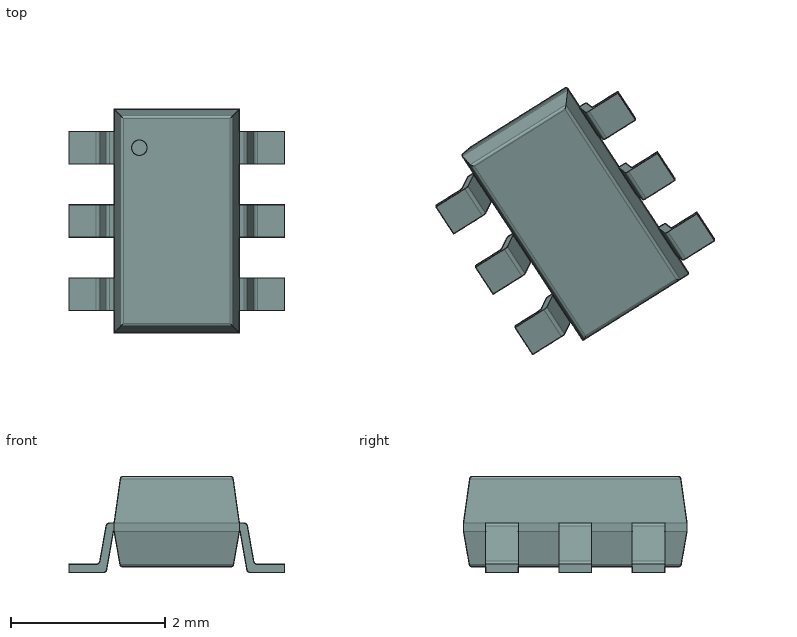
import cadquery as cq
import math


LEAD_SPAN = 2.8
BODY_LENGTH = 2.9
BODY_WIDTH = 1.625
PACKAGE_HEIGHT = 1.25
STANDOFF = 0.075

LEAD_THICKNESS = 0.11
LEAD_WIDTH = 0.425
LEAD_PITCH = 0.95
LEADS_PER_SIDE = 3
LEAD_TOP = 0.645
LEAD_SLOPE = 10.0
FOOT_LENGTH = 0.395
BEND_RADIUS = 0.05

UPPER_DRAFT = 8.0
LOWER_DRAFT = 10.0
EDGE_RADIUS = 0.04

MARK_DIAMETER = 0.2
MARK_DEPTH = 0.2
MARK_X = -0.485
MARK_Y = LEAD_PITCH

BAND_TOP = LEAD_TOP
BAND_BOTTOM = LEAD_TOP - LEAD_THICKNESS


def body_section(base_z, height, draft):
    """Rectangular block rising (or falling) from base_z with drafted walls."""
    return (
        cq.Workplane("XY", origin=(0, 0, base_z))
        .rect(BODY_WIDTH, BODY_LENGTH)
        .extrude(height, taper=draft)
    )


def make_body():
    upper = body_section(BAND_TOP, PACKAGE_HEIGHT - BAND_TOP, UPPER_DRAFT)
    lower = body_section(BAND_BOTTOM, STANDOFF - BAND_BOTTOM, LOWER_DRAFT)
    band = body_section(BAND_BOTTOM, LEAD_THICKNESS, 0)
    upper = upper.faces(">Z").edges().fillet(EDGE_RADIUS)
    lower = lower.faces("<Z").edges().fillet(EDGE_RADIUS)
    mark = (
        cq.Workplane("XY", origin=(MARK_X, MARK_Y, PACKAGE_HEIGHT))
        .circle(MARK_DIAMETER / 2)
        .extrude(-MARK_DEPTH)
    )
    return band.union(upper).union(lower).cut(mark)


def make_lead(y_centre):
    """Lead on the -X side, running from its foot up to the body wall."""
    slope = math.tan(math.radians(LEAD_SLOPE))
    tip_x = -LEAD_SPAN / 2
    wall_x = -BODY_WIDTH / 2
    outer_foot_x = tip_x + FOOT_LENGTH
    outer_top_x = outer_foot_x + (LEAD_TOP - LEAD_THICKNESS) * slope
    inner_foot_x = outer_foot_x + LEAD_THICKNESS - LEAD_THICKNESS * slope
    inner_top_x = inner_foot_x + BAND_BOTTOM * slope

    lead = (
        cq.Workplane("XZ", origin=(0, y_centre, 0))
        .moveTo(tip_x, 0)
        .lineTo(inner_foot_x, 0)
        .lineTo(inner_top_x, BAND_BOTTOM)
        .lineTo(wall_x, BAND_BOTTOM)
        .lineTo(wall_x, LEAD_TOP)
        .lineTo(outer_top_x, LEAD_TOP)
        .lineTo(outer_foot_x, LEAD_THICKNESS)
        .lineTo(tip_x, LEAD_THICKNESS)
        .close()
        .extrude(LEAD_WIDTH / 2, both=True)
    )
    bend_corners = [
        (inner_foot_x, 0),
        (outer_top_x, LEAD_TOP),
        (outer_foot_x, LEAD_THICKNESS),
    ]
    for x, z in bend_corners:
        bend_edge = cq.selectors.NearestToPointSelector((x, y_centre, z))
        lead = lead.edges("|Y").edges(bend_edge).fillet(BEND_RADIUS)
    return lead


body = make_body()

leads = []
for index in range(LEADS_PER_SIDE):
    lead_y = (index - (LEADS_PER_SIDE - 1) / 2) * LEAD_PITCH
    left_lead = make_lead(lead_y)
    leads.append(left_lead)
    leads.append(left_lead.mirror("YZ"))

result = cq.Compound.makeCompound([body.val(), *[lead.val() for lead in leads]])